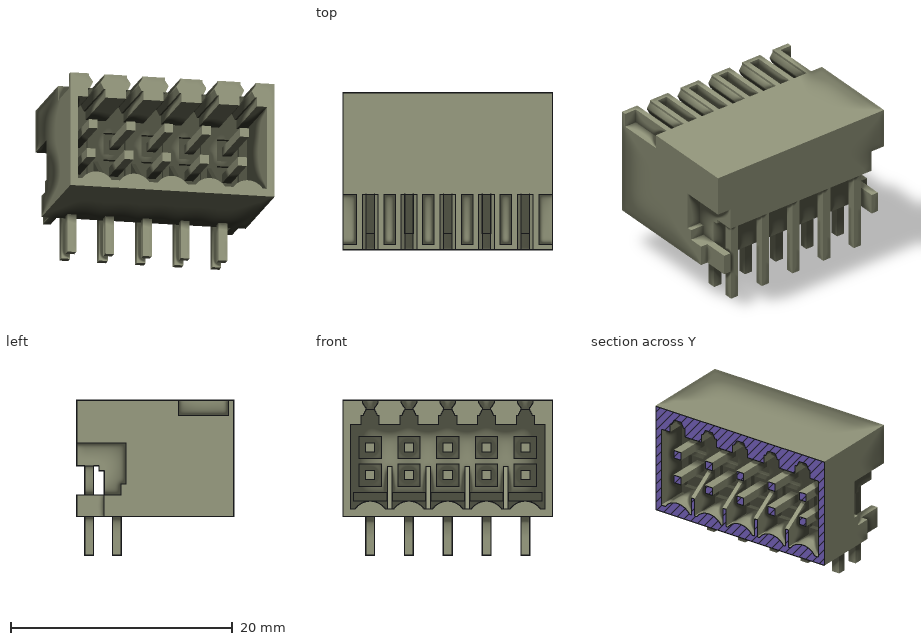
import cadquery as cq

width = 18.9
depth = 14.2
body_height = 10.5
pin_drop = 3.5

contacts = 5
pitch = 3.5
contact_xs = [(i - (contacts - 1) / 2) * pitch for i in range(contacts)]
between_xs = [x + pitch / 2 for x in contact_xs[:-1]]
pin_size = 0.81
lower_tip_y = 2.3
upper_tip_y = 1.5
row_spacing = 2.5
lower_row_z = 3.75
front_leg_y = 10.57
pin_rows = [
    (lower_row_z, lower_tip_y, front_leg_y),
    (lower_row_z + row_spacing, upper_tip_y, front_leg_y + row_spacing),
]

wall = 0.7
cavity_top = 8.33
cavity_depth = 8.2
pocket_depth = 0.5
pin_pocket = 2.02
base_pocket_width = 2.99
base_pocket_height = 0.8

ridge_width = 2.72
ridge_height = 0.7
rib_width = 0.4
rib_top = 4.52
rib_toe_y = 2.51

roof_slot_depth = 5.0
key_shoulder_z = 9.15
key_shoulder_half = 0.65
key_half = 0.81
throat_half = 0.38
throat_bottom_z = 9.68
throat_top_z = 9.79
flare_top_z = 10.28
flare_half = 0.72
relief_start_y = 0.47
relief_width = 1.02

core_half = 8.05
side_recess_top = 6.63
side_recess_y = 9.71
side_step_y = 10.2
side_step_z = 2.97
rear_ledge_z = 1.97
rear_wall_y = 11.7
rear_step_y = 12.19
rear_step_z = 4.14
rear_roof_z = 4.57


def box(x0, x1, y0, y1, z0, z1):
    """Box between opposite corners."""
    return cq.Workplane("XY").box(x1 - x0, y1 - y0, z1 - z0, centered=False).translate((x0, y0, z0))


def centered_box(x, size_x, y0, y1, z0, z1):
    """Box centred on x, between the given Y and Z limits."""
    return box(x - size_x / 2, x + size_x / 2, y0, y1, z0, z1)


def extrude_along_y(outline, length):
    """Extrude an XZ outline from the mating face toward the rear."""
    return outline.close().extrude(-length)


def extrude_along_x(points, x0, x1):
    """Extrude a closed YZ outline from x0 to x1."""
    return cq.Workplane("YZ", origin=(x0, 0, 0)).polyline(points).close().extrude(x1 - x0)


def rear_stepped_body():
    """Block with its rear lower side cut away in steps, narrower where the core shows."""
    core = extrude_along_x(
        [
            (0, 0),
            (rear_wall_y, 0),
            (rear_wall_y, rear_step_z),
            (rear_step_y, rear_step_z),
            (rear_step_y, rear_roof_z),
            (depth, rear_roof_z),
            (depth, body_height),
            (0, body_height),
        ],
        -core_half,
        core_half,
    )
    side_outline = [
        (0, 0),
        (rear_wall_y, 0),
        (rear_wall_y, rear_ledge_z),
        (side_step_y, rear_ledge_z),
        (side_step_y, side_step_z),
        (side_recess_y, side_step_z),
        (side_recess_y, side_recess_top),
        (depth, side_recess_top),
        (depth, body_height),
        (0, body_height),
    ]
    left = extrude_along_x(side_outline, -width / 2, -core_half)
    ear = box(-width / 2 + wall, -core_half, rear_wall_y, depth, 0, rear_ledge_z)
    left = left.union(ear)
    return core.union(left).union(left.mirror("YZ"))


def floor_ridge(x):
    """Rounded ridge on the cavity floor under one contact column."""
    outline = (
        cq.Workplane("XZ")
        .moveTo(x - ridge_width / 2, wall)
        .threePointArc((x, wall + ridge_height), (x + ridge_width / 2, wall))
    )
    return extrude_along_y(outline, cavity_depth)


def sloped_rib(x):
    """Rib rising from the cavity floor to the back wall between two contact columns."""
    profile = [(rib_toe_y, wall), (cavity_depth, wall), (cavity_depth, rib_top)]
    return extrude_along_x(profile, x - rib_width / 2, x + rib_width / 2)


def back_wall_pockets(x):
    """Square pockets around the pins and the low wide pocket above the ridge."""
    pocket_end = cavity_depth + pocket_depth
    base_z = wall + ridge_height
    pockets = centered_box(
        x, base_pocket_width, cavity_depth, pocket_end, base_z, base_z + base_pocket_height
    )
    for row_z, _, _ in pin_rows:
        bottom = row_z - pin_pocket / 2
        pockets = pockets.union(
            centered_box(x, pin_pocket, cavity_depth, pocket_end, bottom, bottom + pin_pocket)
        )
    return pockets


def key_slot(x):
    """Hourglass slot through the roof: short flared top, long key channel below."""
    channel = (
        cq.Workplane("XZ")
        .moveTo(x - key_half, cavity_top)
        .lineTo(x - key_half, key_shoulder_z)
        .lineTo(x - key_shoulder_half, key_shoulder_z)
        .lineTo(x - throat_half, throat_bottom_z)
        .lineTo(x + throat_half, throat_bottom_z)
        .lineTo(x + key_shoulder_half, key_shoulder_z)
        .lineTo(x + key_half, key_shoulder_z)
        .lineTo(x + key_half, cavity_top)
    )
    flare = (
        cq.Workplane("XZ")
        .moveTo(x - throat_half, throat_bottom_z)
        .lineTo(x - throat_half, throat_top_z)
        .lineTo(x - flare_half, flare_top_z)
        .lineTo(x - flare_half, body_height)
        .lineTo(x + flare_half, body_height)
        .lineTo(x + flare_half, flare_top_z)
        .lineTo(x + throat_half, throat_top_z)
        .lineTo(x + throat_half, throat_bottom_z)
    )
    return extrude_along_y(channel, cavity_depth).union(extrude_along_y(flare, roof_slot_depth))


def roof_reliefs():
    """Pockets between the key slots and open notches at both roof edges."""
    limits = (relief_start_y, roof_slot_depth, key_shoulder_z, body_height)
    notch_inner = between_xs[-1] + pitch - relief_width / 2
    cutter = box(notch_inner, width / 2, *limits)
    cutter = cutter.union(cutter.mirror("YZ"))
    for x in between_xs:
        cutter = cutter.union(centered_box(x, relief_width, *limits))
    return cutter


def bent_pin(x, row_z, tip_y, leg_y):
    """L-shaped square pin: horizontal blade and downward solder leg."""
    half = pin_size / 2
    blade = centered_box(x, pin_size, tip_y, leg_y + half, row_z - half, row_z + half)
    leg = centered_box(x, pin_size, leg_y - half, leg_y + half, -pin_drop, row_z + half)
    return blade.union(leg)


cavity = box(-width / 2 + wall, width / 2 - wall, 0, cavity_depth, wall, cavity_top)
housing = rear_stepped_body().cut(cavity).cut(roof_reliefs())
for contact_x in contact_xs:
    housing = housing.cut(key_slot(contact_x)).cut(back_wall_pockets(contact_x))
    housing = housing.union(floor_ridge(contact_x))
for rib_x in between_xs:
    housing = housing.union(sloped_rib(rib_x))

result = housing
for contact_x in contact_xs:
    for blade_z, blade_tip_y, solder_leg_y in pin_rows:
        result = result.union(bent_pin(contact_x, blade_z, blade_tip_y, solder_leg_y))